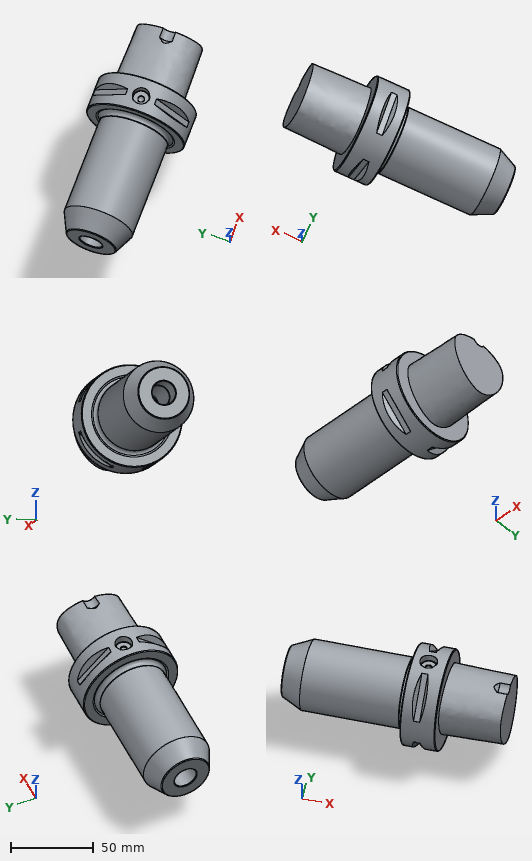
import cadquery as cq
import math

total_length = 138
nose_length = 12.7
undercut_start = 74.7
collar_start = 77.8
collar_end = 99.8

body_radius = 44.0 / 2
undercut_radius = 43.7 / 2
nose_radius = 16.1
nose_chamfer = 0.5
nose_edge_length = 0.4
undercut_step_length = 0.4
fillet_top_radius = 24.2
recess_radius = 25.3
recess_depth = 0.5
collar_radius = 63.0 / 2
collar_chamfer = 0.5

bore_radius = 14.0 / 2
bore_mouth_radius = 7.7
counterbore_radius = 14.5 / 2
counterbore_depth = 13.8
bore_floor_radius = 6.3
bore_depth = 41.4

shank_radius = 22.1
lobe_height = 1.45
shank_taper = 1 / 40
lobes = 3
outline_points = 48

groove_center = 88.0
groove_floor_distance = 27.9
groove_floor_width = 3.7
groove_flank_angle = 30
groove_clearance = 1.4
groove_angles = (45, 135, 225, 315)
screw_hole_radius = 5.2
screw_hole_floor_radius = 10.0 / 2
screw_hole_depth = 5.2
pilot_radius = 4.0 / 2
pilot_depth = 1.1
pilot_tip_length = 1.0

notch_radius = 4.7
notch_length = 6.5
notch_axis_height = 22.0


def turned_body():
    """Nose, cylindrical body and collar revolved about X."""
    fillet_radius = fillet_top_radius - undercut_radius
    fillet_end = collar_start + recess_depth
    fillet_start = fillet_end - fillet_radius
    fillet_mid = fillet_radius * math.sqrt(0.5)
    profile = (
        cq.Workplane("XY")
        .lineTo(0, nose_radius - nose_chamfer)
        .lineTo(nose_chamfer, nose_radius)
        .lineTo(nose_length, undercut_radius)
        .lineTo(nose_length + nose_edge_length, body_radius)
        .lineTo(undercut_start, body_radius)
        .lineTo(undercut_start + undercut_step_length, undercut_radius)
        .lineTo(fillet_start, undercut_radius)
        .threePointArc(
            (fillet_start + fillet_mid, fillet_top_radius - fillet_mid),
            (fillet_end, fillet_top_radius),
        )
        .lineTo(collar_start, recess_radius)
        .lineTo(collar_start, collar_radius - collar_chamfer)
        .lineTo(collar_start + collar_chamfer, collar_radius)
        .lineTo(collar_end - collar_chamfer, collar_radius)
        .lineTo(collar_end, collar_radius - collar_chamfer)
        .lineTo(collar_end, 0)
        .close()
    )
    return profile.revolve(360, (0, 0, 0), (1, 0, 0))


def polygon_outline(mean_radius):
    """Points of a rounded three-lobed outline, with one lobe toward -Z."""
    points = []
    for i in range(outline_points):
        angle = 2 * math.pi * i / outline_points
        support = mean_radius + lobe_height * math.sin(lobes * angle)
        slope = lobes * lobe_height * math.cos(lobes * angle)
        y = support * math.cos(angle) - slope * math.sin(angle)
        z = support * math.sin(angle) + slope * math.cos(angle)
        points.append((y, z))
    return points


def shank():
    """Tapered three-lobed shank behind the collar."""
    length = total_length - collar_end
    end_radius = shank_radius - length * shank_taper
    return (
        cq.Workplane("YZ", origin=(collar_end, 0, 0))
        .spline(polygon_outline(shank_radius), periodic=True)
        .close()
        .workplane(offset=length)
        .spline(polygon_outline(end_radius), periodic=True)
        .close()
        .loft(ruled=True, combine=True)
    )


def gripper_groove(angle):
    """Straight groove with sloping flanks, tangential to the collar."""
    height = collar_radius - groove_floor_distance + groove_clearance
    floor_half = groove_floor_width / 2
    top_half = floor_half + height * math.tan(math.radians(groove_flank_angle))
    top = groove_floor_distance + height
    return (
        cq.Workplane("XZ")
        .moveTo(groove_center - floor_half, groove_floor_distance)
        .lineTo(groove_center + floor_half, groove_floor_distance)
        .lineTo(groove_center + top_half, top)
        .lineTo(groove_center - top_half, top)
        .close()
        .extrude(collar_radius, both=True)
        .rotate((0, 0, 0), (1, 0, 0), angle)
    )


def screw_hole():
    """Flat-bottomed radial hole with a small conical-bottomed pilot hole."""
    floor = collar_radius - screw_hole_depth
    floor_chamfer = screw_hole_radius - screw_hole_floor_radius
    pilot_floor = floor - pilot_depth
    profile = (
        cq.Workplane("XZ", origin=(groove_center, 0, 0))
        .moveTo(0, collar_radius)
        .lineTo(screw_hole_radius, collar_radius)
        .lineTo(screw_hole_radius, floor + floor_chamfer)
        .lineTo(screw_hole_floor_radius, floor)
        .lineTo(pilot_radius, floor)
        .lineTo(pilot_radius, pilot_floor)
        .lineTo(0, pilot_floor - pilot_tip_length)
        .close()
    )
    return profile.revolve(360, (0, 0, 0), (0, 1, 0))


def key_notch():
    """Notch along X with a 45 degree drill tip, open at the top of the shank end."""
    tip = total_length - notch_length - notch_radius
    profile = (
        cq.Workplane("XZ", origin=(0, 0, notch_axis_height))
        .moveTo(tip, 0)
        .lineTo(tip + notch_radius, notch_radius)
        .lineTo(total_length, notch_radius)
        .lineTo(total_length, 0)
        .close()
    )
    return profile.revolve(360, (0, 0, 0), (1, 0, 0))


def bore():
    """Blind bore with a chamfered counterbore and 45 degree transitions."""
    mouth_chamfer = bore_mouth_radius - counterbore_radius
    step_chamfer = counterbore_radius - bore_radius
    floor_chamfer = bore_radius - bore_floor_radius
    profile = (
        cq.Workplane("XY")
        .lineTo(0, bore_mouth_radius)
        .lineTo(mouth_chamfer, counterbore_radius)
        .lineTo(counterbore_depth, counterbore_radius)
        .lineTo(counterbore_depth + step_chamfer, bore_radius)
        .lineTo(bore_depth - floor_chamfer, bore_radius)
        .lineTo(bore_depth, bore_floor_radius)
        .lineTo(bore_depth, 0)
        .close()
    )
    return profile.revolve(360, (0, 0, 0), (1, 0, 0))


result = turned_body().union(shank())
for groove_angle in groove_angles:
    result = result.cut(gripper_groove(groove_angle))
result = result.cut(screw_hole()).cut(key_notch()).cut(bore())